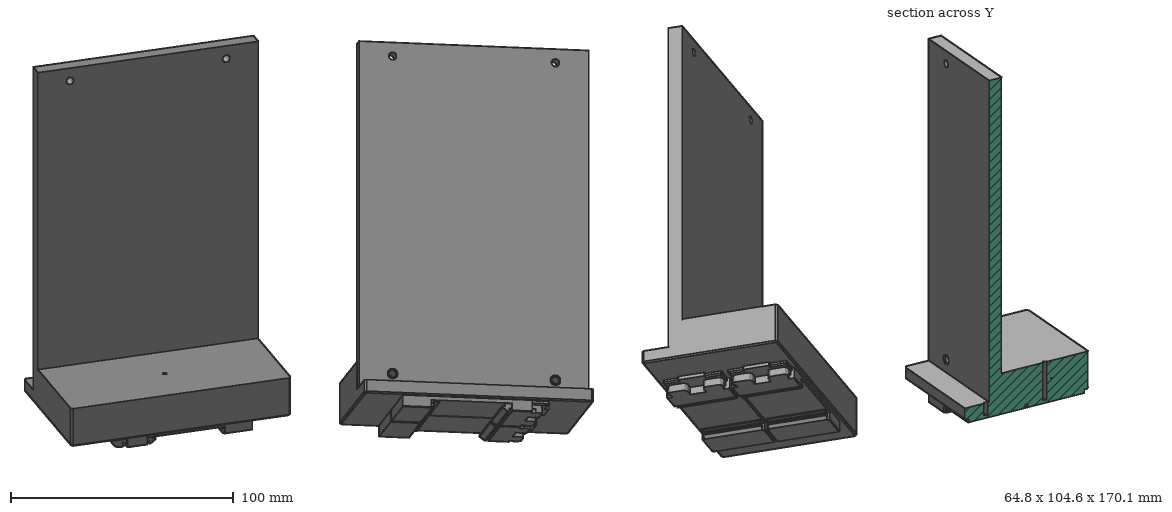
import cadquery as cq
import math

base_length = 64.8
plate_width = 104.6
base_width = 104.5
overall_height = 170.1
clip_height = 5.3
ledge_top = 11.2
block_top = 24.0
corner_chamfer = 1.0
bottom_chamfer = 0.7

plate_front = 12.8
plate_thickness = 6.6
plate_hole_spacing = 74.2
plate_hole_diameter = 3.4
upper_hole_z = 163.8
lower_hole_z = 17.5
lower_hole_depth = 10.2
countersink_diameter = 4.6
drill_point_angle = 118

clip_width = 30.0
clip_pitch = 31.0
clip_end_chamfer = 0.3
web_bottom = 3.5
fixed_foot_outer = 34.4
fixed_foot_inner = 21.5
fixed_hook_tip = 19.9
hook_top = 2.4
hook_nose_bottom = 1.7
fixed_hook_slope = 0.9
latch_foot_inner = -15.5
latch_foot_outer = -24.7
lip_start = 17.4
lip_end = 19.5
lip_depth = 0.5

latch_inset = 1.0
latch_tip = -11.2
latch_nose = 1.2
latch_toe = 0.7
latch_gap = 1.2
latch_gap_top = 1.5
tongue_shoulder = -32.5
tongue_end = -33.7
tongue_chamfer = 0.7
finger_width = 12.3
tab_end = -29.8
tab_width = 9.5
tab_center = 8.5
tab_radius = 2.2
notch_width = 1.9
notch_height = 1.9
notch_depth = 0.9

screw_hole_diameter = 1.7
screw_hole_offset = -5.8


def box(x_min, x_max, y_min, y_max, z_min, z_max):
    """Box between two opposite corners."""
    return cq.Workplane("XY").box(
        x_max - x_min, y_max - y_min, z_max - z_min, centered=False
    ).translate((x_min, y_min, z_min))


def profile_along_x(points, width):
    """Extrude a closed (Y, Z) outline symmetrically about X = 0."""
    return cq.Workplane("YZ").polyline(points).close().extrude(width / 2, both=True)


def make_base():
    """Stepped base: low ledge in front of the plate, tall block behind it."""
    outline = [
        (0, clip_height),
        (base_length, clip_height),
        (base_length, block_top),
        (plate_front, block_top),
        (plate_front, ledge_top),
        (0, ledge_top),
    ]
    base = cq.Workplane("XZ").polyline(outline).close().extrude(base_width / 2, both=True)
    base = base.edges("|Z and (<X or >X)").chamfer(corner_chamfer)
    base = base.faces("<Z").edges().chamfer(bottom_chamfer)
    return base.translate((0, (base_width - plate_width) / 2, 0))


def make_plate():
    """Upright plate rising from the ledge level."""
    return box(
        plate_front, plate_front + plate_thickness,
        -plate_width / 2, plate_width / 2,
        ledge_top, overall_height,
    )


def make_foot(y_min, y_max):
    """Clip foot as high as the clip, with its two lower end edges chamfered."""
    foot = box(-clip_width / 2, clip_width / 2, y_min, y_max, 0, clip_height)
    return foot.edges("|Y and <Z").chamfer(clip_end_chamfer)


def make_tongue():
    """Release tongue under the base, with a square finger in the middle."""
    half_width = clip_width / 2 - latch_inset
    tongue = box(-half_width, half_width, tongue_shoulder, latch_foot_outer, web_bottom, clip_height)
    tongue = tongue.faces("<Z").edges("<X or >X or <Y").chamfer(tongue_chamfer)
    finger = box(-finger_width / 2, finger_width / 2, tongue_end, latch_foot_outer, web_bottom, clip_height)
    return tongue.union(finger)


def make_tab():
    """Grip tab below the +X half of the tongue: rounded front corners and a small root notch."""
    outer_side = tab_center + tab_width / 2
    tab = box(outer_side - tab_width, outer_side, tab_end, latch_foot_outer, 0, web_bottom)
    tab = tab.edges("|Z and <Y").fillet(tab_radius)
    notch = box(
        outer_side - notch_depth, outer_side,
        latch_foot_outer - notch_width, latch_foot_outer, 0, notch_height,
    )
    return tab.cut(notch)


def make_clip():
    """Rail clip centred on X = 0: web, two feet, fixed hook and sliding latch."""
    hook_width = clip_width - 2 * latch_inset
    web = box(
        -clip_width / 2, clip_width / 2,
        latch_foot_inner, fixed_foot_inner, web_bottom, clip_height,
    )
    lip = box(-hook_width / 2, hook_width / 2, lip_start, lip_end, web_bottom - lip_depth, web_bottom)
    fixed_hook = profile_along_x(
        [
            (fixed_foot_inner, 0),
            (fixed_hook_tip + fixed_hook_slope, 0),
            (fixed_hook_tip, hook_nose_bottom),
            (fixed_hook_tip, hook_top),
            (fixed_foot_inner, hook_top),
        ],
        hook_width,
    )
    gap_edge = latch_foot_inner + latch_gap
    latch_hook = profile_along_x(
        [
            (latch_foot_inner, latch_gap_top),
            (gap_edge, latch_gap_top),
            (gap_edge, 0),
            (gap_edge + latch_toe, 0),
            (latch_tip, hook_nose_bottom),
            (latch_tip, hook_top),
            (latch_tip - latch_nose, hook_top),
            (latch_tip - latch_nose, web_bottom),
            (latch_foot_inner, web_bottom),
        ],
        hook_width,
    )
    clip = make_foot(fixed_foot_inner, fixed_foot_outer)
    clip = clip.union(make_foot(latch_foot_outer, latch_foot_inner))
    for piece in (web, lip, fixed_hook, latch_hook, make_tongue()):
        clip = clip.union(piece)
    tab = make_tab()
    return clip.union(tab).union(tab.mirror("YZ"))


def make_lower_hole_tool():
    """Solid of one blind hole along +X: countersink, bore and drill point."""
    radius = plate_hole_diameter / 2
    rim_radius = countersink_diameter / 2
    point_length = radius / math.tan(math.radians(drill_point_angle / 2))
    half_section = [
        (0, 0),
        (0, rim_radius),
        (rim_radius - radius, radius),
        (lower_hole_depth, radius),
        (lower_hole_depth + point_length, 0),
    ]
    return cq.Workplane("XY").polyline(half_section).close().revolve(360, (0, 0), (1, 0))


def cut_plate_holes(body):
    """Two through holes near the top of the plate, two blind ones near its foot."""
    upper_tool = cq.Workplane("YZ").circle(plate_hole_diameter / 2).extrude(plate_thickness)
    lower_tool = make_lower_hole_tool()
    for side in (-1, 1):
        y = side * plate_hole_spacing / 2
        body = body.cut(upper_tool.translate((plate_front, y, upper_hole_z)))
        body = body.cut(lower_tool.translate((plate_front, y, lower_hole_z)))
    return body


def cut_screw_hole(body, x):
    """Vertical hole through the base, closed below by the clip."""
    depth = block_top - clip_height
    tool = cq.Workplane("XY", origin=(x, 0, clip_height)).circle(screw_hole_diameter / 2).extrude(depth)
    return body.cut(tool)


base = make_base()
clip_centers = [base_length / 2 + side * clip_pitch / 2 for side in (-1, 1)]
for clip_x in clip_centers:
    base = cut_screw_hole(base, clip_x + screw_hole_offset)

result = cut_plate_holes(base.union(make_plate()))
for clip_x in clip_centers:
    result = result.union(make_clip().translate((clip_x, 0, 0)))